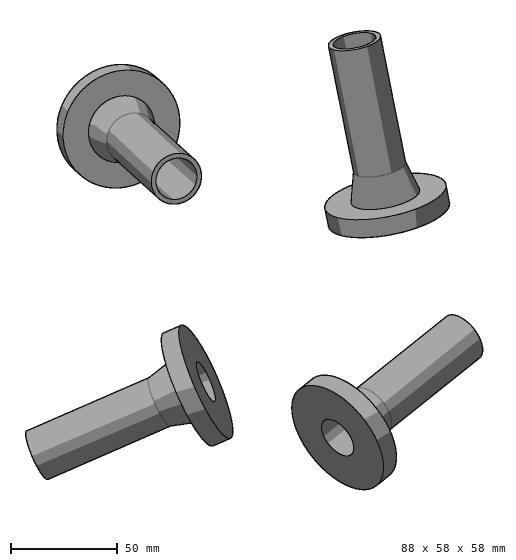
import cadquery as cq

total_length = 88.0
flange_diameter = 58.0
flange_thickness = 9.15
neck_base_diameter = 32.8
neck_end = 24.0
pipe_diameter = 25.0
bore_diameter = 20.3

flange_radius = flange_diameter / 2
neck_base_radius = neck_base_diameter / 2
pipe_radius = pipe_diameter / 2
bore_radius = bore_diameter / 2

half_section = (
    cq.Workplane("XY")
    .moveTo(0, bore_radius)
    .lineTo(0, flange_radius)
    .lineTo(flange_thickness, flange_radius)
    .lineTo(flange_thickness, neck_base_radius)
    .lineTo(neck_end, pipe_radius)
    .lineTo(total_length, pipe_radius)
    .lineTo(total_length, bore_radius)
    .close()
)

result = half_section.revolve(360, (0, 0, 0), (1, 0, 0))